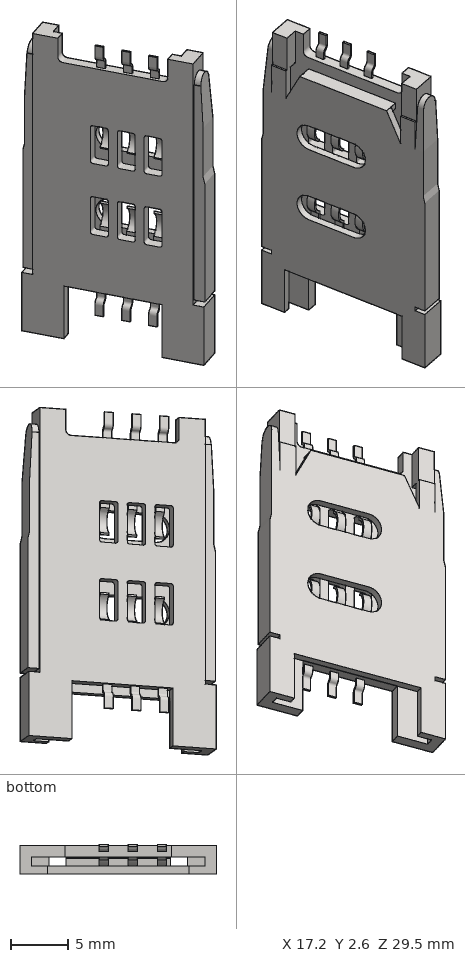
import cadquery as cq

HEIGHT = 29.5
HALF_WIDTH = 17.2 / 2
DEPTH = 2.6
BACK_Y = 2.5

BODY_HALF_WIDTH = 7.58
ARM_BACK_Y = 2.33
CHANNEL_FRONT_Y = 1.03
CHANNEL_BACK_Y = 1.8
REAR_PLATE_TOP = 26.08
REAR_PLATE_BOTTOM = 4.6

ARM_INNER_X = 5.2
ARM_STEP_X = 6.05
TOP_NOTCH_Z = 27.2
TOP_NOTCH_RADIUS = 0.47
LEG_INNER_X = 4.63
LEG_REAR_INNER_X = 6.2
FRONT_PLATE_BOTTOM = 5.2
LEG_TOP = 5.75

TAB_HALF_WIDTH = 4.57
TAB_FRONT_Y = 1.12
TAB_HEIGHT = 0.6
SHOULDER_DROP = 2.95

FLAP_BOTTOM = 6.15
FLAP_FRONT_Y = 0.25
FLAP_TOP = 28.23
FLAP_TOP_RADIUS = 0.9
FLAP_FRONT_STEP = 0.05
FLAP_TOP_X = 8.17
FLAP_UPPER_X = 8.45
FLAP_TAPER_Z = 23.2
FLAP_STEP_TOP = 18.4
FLAP_STEP_BOTTOM = 17.73

CONTACT_MIDDLE_X = 1.27
CONTACT_PITCH = 2.55
CONTACT_XS = [CONTACT_MIDDLE_X + CONTACT_PITCH * column for column in (-1, 0, 1)]
CONTACT_WIDTH = 0.8
CONTACT_THICKNESS = 0.2
CONTACT_Y = 0.45
TAIL_Y = BACK_Y - DEPTH + CONTACT_THICKNESS / 2
TAIL_LENGTH = 1.03
BEND_HEIGHT = 0.68
RAMP_START = 1.18
RAMP_END = 0.45
SPRING_Y = 1.18
SPRING_SPAN = 2.4
SPRING_RISE = 0.68
SPRING_OFFSET = 0.3
WINDOW_WIDTH = 1.68
WINDOW_HEIGHT = 3.72
WINDOW_RADIUS = 0.25
REAR_SLOT_LENGTH = 7.2
REAR_SLOT_HEIGHT = 2.55

UPPER_ROW = (21.54, HEIGHT, 19.85, 1)
LOWER_ROW = (10.83, 2.95, 12.3, -1)


def box(x0, x1, y0, y1, z0, z1):
    """Axis-aligned block between two opposite corners."""
    return cq.Workplane("XY").box(x1 - x0, y1 - y0, z1 - z0, centered=False).translate((x0, y0, z0))


def front_sketch(front_y):
    """Workplane at Y = front_y with local axes X and Z; a negative extrusion runs towards +Y."""
    return cq.Workplane("XZ", origin=(0, front_y, 0))


def make_front_plate():
    plate = box(-BODY_HALF_WIDTH, BODY_HALF_WIDTH, 0, CHANNEL_FRONT_Y, FRONT_PLATE_BOTTOM, HEIGHT)
    notch = box(-ARM_INNER_X, ARM_INNER_X, 0, CHANNEL_FRONT_Y, TOP_NOTCH_Z, HEIGHT + TOP_NOTCH_RADIUS)
    return plate.cut(notch.edges("|Y and <Z").fillet(TOP_NOTCH_RADIUS))


def make_rear_plate():
    """Rear plate with sloped shoulders and a stop tab reaching towards the front plate."""
    shoulder_z = REAR_PLATE_TOP - SHOULDER_DROP
    outline = [
        (-BODY_HALF_WIDTH, REAR_PLATE_BOTTOM),
        (BODY_HALF_WIDTH, REAR_PLATE_BOTTOM),
        (BODY_HALF_WIDTH, REAR_PLATE_TOP),
        (ARM_STEP_X, REAR_PLATE_TOP),
        (ARM_STEP_X, shoulder_z),
        (TAB_HALF_WIDTH, REAR_PLATE_TOP),
        (-TAB_HALF_WIDTH, REAR_PLATE_TOP),
        (-ARM_STEP_X, shoulder_z),
        (-ARM_STEP_X, REAR_PLATE_TOP),
        (-BODY_HALF_WIDTH, REAR_PLATE_TOP),
    ]
    plate = front_sketch(CHANNEL_BACK_Y).polyline(outline).close().extrude(CHANNEL_BACK_Y - BACK_Y)
    tab_bottom = REAR_PLATE_TOP - TAB_HEIGHT
    tab = box(-TAB_HALF_WIDTH, TAB_HALF_WIDTH, TAB_FRONT_Y, BACK_Y, tab_bottom, REAR_PLATE_TOP)
    return plate.union(tab)


def make_right_side():
    """Leg, upper arm and flap on the +X side."""
    leg = box(LEG_INNER_X, HALF_WIDTH, 0, BACK_Y, 0, LEG_TOP)
    channel = box(LEG_INNER_X, BODY_HALF_WIDTH, CHANNEL_FRONT_Y, CHANNEL_BACK_Y, 0, LEG_TOP)
    arm = box(ARM_STEP_X, BODY_HALF_WIDTH, 0, ARM_BACK_Y, REAR_PLATE_TOP, HEIGHT)
    rear_notch = box(LEG_INNER_X, LEG_REAR_INNER_X, CHANNEL_FRONT_Y, BACK_Y, 0, LEG_TOP)
    return leg.cut(channel).cut(rear_notch).union(arm).union(make_right_flap())


def make_right_flap():
    """Flap shaped by its front profile and by its rounded side profile."""
    front_profile = (
        front_sketch(0)
        .moveTo(BODY_HALF_WIDTH, FLAP_BOTTOM)
        .lineTo(HALF_WIDTH, FLAP_BOTTOM)
        .lineTo(HALF_WIDTH, FLAP_STEP_BOTTOM)
        .lineTo(FLAP_UPPER_X, FLAP_STEP_TOP)
        .lineTo(FLAP_UPPER_X, FLAP_TAPER_Z)
        .lineTo(FLAP_TOP_X, FLAP_TOP)
        .lineTo(BODY_HALF_WIDTH, FLAP_TOP)
        .close()
        .extrude(-BACK_Y)
    )
    arc_z = FLAP_TOP - FLAP_TOP_RADIUS
    arc_front_y = FLAP_FRONT_Y + FLAP_FRONT_STEP
    arc_middle_y = arc_front_y + FLAP_TOP_RADIUS
    side_profile = (
        cq.Workplane("YZ")
        .moveTo(FLAP_FRONT_Y, FLAP_BOTTOM)
        .lineTo(FLAP_FRONT_Y, arc_z)
        .lineTo(arc_front_y, arc_z)
        .threePointArc((arc_middle_y, FLAP_TOP), (arc_middle_y + FLAP_TOP_RADIUS, arc_z))
        .lineTo(BACK_Y, FLAP_TAPER_Z)
        .lineTo(BACK_Y, FLAP_BOTTOM)
        .close()
        .extrude(HALF_WIDTH)
    )
    return front_profile.intersect(side_profile)


def row_openings(row):
    """Windows of one contact row and the rounded slot behind them in the rear plate."""
    window_edge, _, slot_z, direction = row
    window_z = window_edge - direction * WINDOW_HEIGHT / 2
    windows = (
        front_sketch(0)
        .pushPoints([(x, window_z) for x in CONTACT_XS])
        .rect(WINDOW_WIDTH, WINDOW_HEIGHT)
        .extrude(-CHANNEL_FRONT_Y)
        .edges("|Y")
        .fillet(WINDOW_RADIUS)
    )
    slot = (
        front_sketch(CHANNEL_BACK_Y)
        .center(CONTACT_MIDDLE_X, slot_z)
        .slot2D(REAR_SLOT_LENGTH, REAR_SLOT_HEIGHT)
        .extrude(CHANNEL_BACK_Y - BACK_Y)
    )
    return windows.union(slot)


def make_contact(x, row):
    """Strip swept from the tail through an S-bend, the front plate and a ramp to a bowed spring."""
    window_edge, tip_z, _, direction = row
    bend_start = tip_z - direction * TAIL_LENGTH
    bend_middle = bend_start - direction * BEND_HEIGHT / 2
    bend_end = bend_start - direction * BEND_HEIGHT
    spring_start = window_edge - direction * SPRING_OFFSET
    spring_middle = spring_start - direction * SPRING_SPAN / 2
    spring_end = spring_start - direction * SPRING_SPAN

    centre_line = (
        cq.Workplane("YZ", origin=(x, 0, 0))
        .moveTo(TAIL_Y, tip_z)
        .lineTo(TAIL_Y, bend_start)
        .tangentArcPoint(((TAIL_Y + CONTACT_Y) / 2, bend_middle), relative=False)
        .tangentArcPoint((CONTACT_Y, bend_end), relative=False)
        .lineTo(CONTACT_Y, window_edge + direction * RAMP_START)
        .lineTo(SPRING_Y, window_edge + direction * RAMP_END)
        .lineTo(SPRING_Y, spring_start)
        .threePointArc((SPRING_Y + SPRING_RISE, spring_middle), (SPRING_Y, spring_end))
    )
    section = cq.Workplane("XY", origin=(x, TAIL_Y, tip_z)).rect(CONTACT_WIDTH, CONTACT_THICKNESS)
    return section.sweep(centre_line, transition="right")


right_side = make_right_side()
result = make_front_plate().union(make_rear_plate()).union(right_side).union(right_side.mirror("YZ"))
for contact_row in (UPPER_ROW, LOWER_ROW):
    result = result.cut(row_openings(contact_row))
    for contact_x in CONTACT_XS:
        result = result.union(make_contact(contact_x, contact_row))